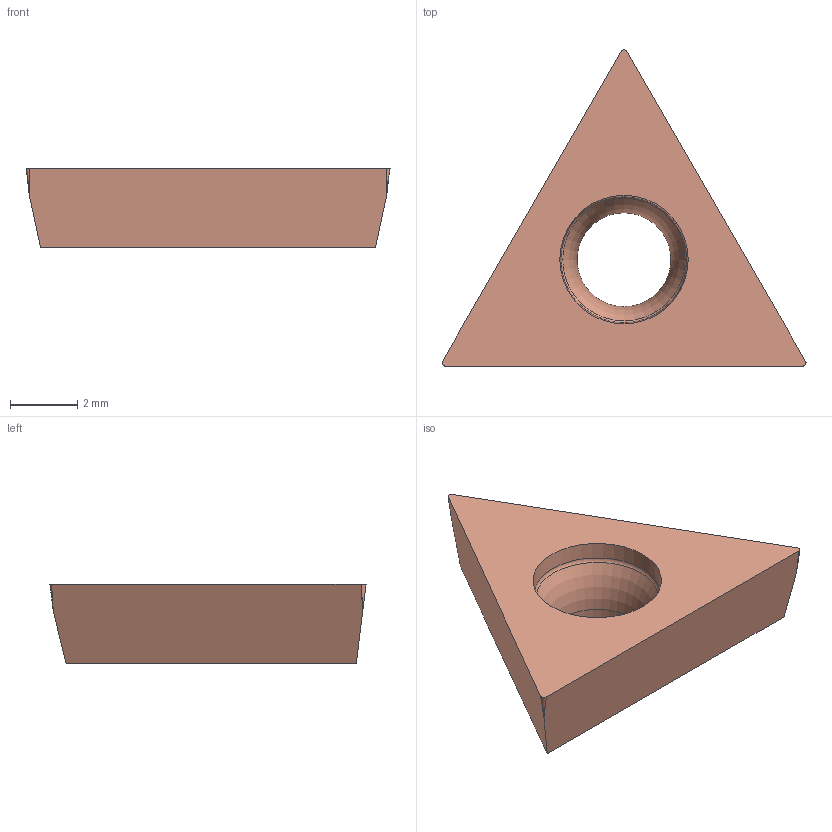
import cadquery as cq
import math

thickness = 2.38
inscribed_radius = 6.35 / 2
nose_radius = 0.1
relief_angle = 7.0
corner_angles = (90, 210, 330)

bore_radius = 2.8 / 2
recess_top_radius = 1.915
recess_bottom_radius = 1.885
recess_depth = 0.505
seat_top_radius = 1.83
fillet_height = 0.125
seat_height = 1.41
seat_top_depth = recess_depth + fillet_height
bore_top_depth = seat_top_depth + seat_height


def polar_point(radius, degrees):
    """XY point at a distance and direction from the hole axis."""
    angle = math.radians(degrees)
    return (radius * math.cos(angle), radius * math.sin(angle))


def insert_body():
    """Round-cornered triangle narrowing downwards at the relief angle.

    The rounded noses are cones that shrink to a point part of the way down, so the
    lower part of each corner is sharp.
    """
    corners = [polar_point(2 * inscribed_radius, angle) for angle in corner_angles]
    outline = cq.Sketch().polygon(corners + corners[:1]).vertices().fillet(nose_radius)
    return cq.Workplane("XY").placeSketch(outline).extrude(-thickness, taper=relief_angle)


def screw_hole():
    """Revolved solid of the whole screw hole."""
    recess_end = (recess_bottom_radius, -recess_depth)
    seat_start = (seat_top_radius, -seat_top_depth)
    bore_start = (bore_radius, -bore_top_depth)
    seat_width = seat_top_radius - bore_radius
    seat_arc_radius = (seat_width**2 + seat_height**2) / (2 * seat_width)
    return (
        cq.Workplane("XZ")
        .lineTo(recess_top_radius, 0)
        .lineTo(*recess_end)
        .tangentArcPoint(seat_start, relative=False)
        .radiusArc(bore_start, -seat_arc_radius)
        .lineTo(bore_radius, -thickness)
        .lineTo(0, -thickness)
        .close()
        .revolve(360, (0, 0, 0), (0, 1, 0))
    )


result = insert_body().cut(screw_hole())